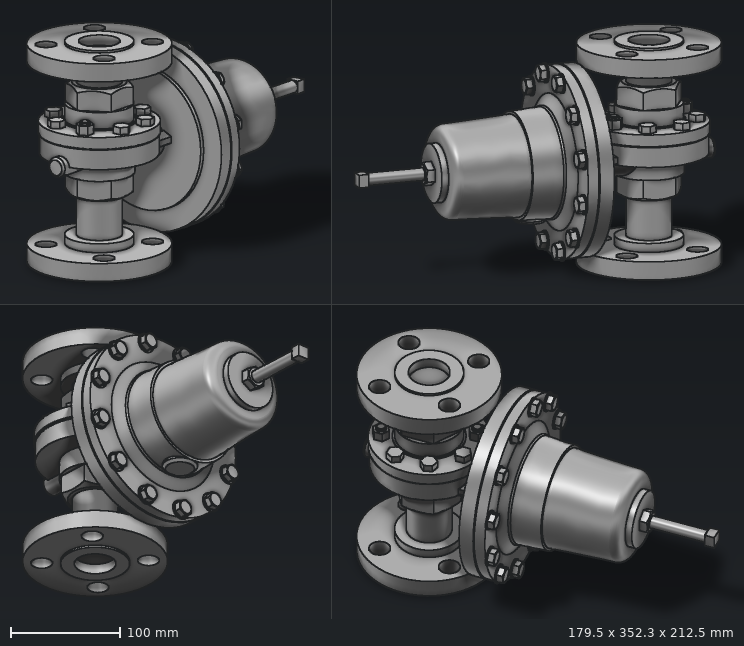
import cadquery as cq
import math


PIPE_TOP_Z = 107.0
PIPE_BOTTOM_Z = -105.5
FLANGE_RADIUS = 66.5
FLANGE_THICKNESS = 17.3
RAISED_FACE = 2.0
HUB_RADIUS = 31.7
HUB_HEIGHT = 8.5
PIPE_RADIUS = 21.0
BORE_RADIUS = 19.0
BORE_DEPTH = 10.0
FLANGE_HOLE_CIRCLE = 49.0
FLANGE_HOLE_RADIUS = 10.0
FLANGE_HOLE_COUNT = 4

PIPE_HEX_FLATS = 55.0
UPPER_HEX_TOP_Z = 68.5
UPPER_HEX_BOTTOM_Z = 48.0
LOWER_HEX_TOP_Z = -17.5
LOWER_HEX_BOTTOM_Z = -38.8
BONNET_TOP_Z = 31.5
BONNET_BOTTOM_Z = 20.0
BONNET_RADIUS = 56.0
NECK_COLLAR_RADIUS = 34.0
NECK_COLLAR_HEIGHT = 1.0
BODY_GASKET_RADIUS = 54.0
BODY_TOP_Z = 19.0
BODY_BOTTOM_Z = 0.5
BODY_RADIUS = 55.0
LOWER_NECK_RADIUS = 32.8

BONNET_BOLT_CIRCLE = 44.0
BONNET_BOLT_COUNT = 8
BONNET_BOLT_FLATS = 14.0
BONNET_BOLT_HEIGHT = 6.7
BONNET_NUT_HEIGHT = 8.8
STUD_RADIUS = 5.0
STUD_HEIGHT = 11.5
STUD_CHAMFER = 1.0
NUT_INDEXES = (2, 6)

PLUG_RADIUS = 9.5
PLUG_END_Y = -62.5
PLUG_CHAMFER = 2.0

DUCT_WIDTH = 52.0
DUCT_HEIGHT = 36.3
DUCT_CENTER_Z = 1.8
PLATE_HALF_WIDTH = 34.0
PLATE_BOTTOM_HALF_WIDTH = 31.5
PLATE_SIDE_BOTTOM_Z = 1.8
PLATE_EDGE_Z = 7.8
PLATE_TOP_Z = 12.0
PLATE_TOP_HALF_WIDTH = 25.0

DISC_DIAMETER = 179.5
DISC_RADIUS = DISC_DIAMETER / 2
DISC_FRONT_Y = 67.3
DISC_SEAM_Y = 81.8
DISC_BACK_Y = 93.0
DISC_GASKET_THICKNESS = 1.0
DISC_GASKET_RADIUS = DISC_RADIUS - 0.5
COVER_RADIUS = 68.5
COVER_Y = 63.0
COVER_CENTER_Y = 61.5

CASE_FOOT_RADIUS = 63.5
CASE_BASE_RADIUS = 53.0
CASE_BASE_Y = 100.5
CASE_SKIRT_RADIUS = 51.8
CASE_SKIRT_Y = 102.5
CASE_STEP_RADIUS = 50.5
CASE_STEP_Y = 132.0
CASE_WAIST_RADIUS = 47.5
CASE_WAIST_Y = 135.5
CASE_TOP_RADIUS = 44.0
CASE_TOP_Y = 206.0
CASE_ROUNDING = 9.0
CAP_RADIUS = 27.5
CAP_Y = 213.0
LOCK_NUT_FLATS = 19.5
LOCK_NUT_Y = 221.5
SCREW_RADIUS = 6.0
SCREW_SQUARE = 12.5
SCREW_SQUARE_Y = 276.3
SCREW_END_Y = 285.8

DISC_BOLT_CIRCLE = 82.0
DISC_BOLT_COUNT = 12
DISC_BOLT_FLATS = 14.0
DISC_BOLT_HEIGHT = 7.8
DISC_BOLT_TWIST = 45
DISC_WASHER_RADIUS = 9.0
DISC_WASHER_THICKNESS = 1.0

VENT_Y = 116.3
VENT_RADIUS = 16.2
VENT_BOTTOM_Z = -53.5
VENT_CHAMFER = 2.8

HEX_TOP_CIRCLE_RATIO = 0.92
CORNER_ON_Y = 30
HEX_CHAMFER_ANGLE = math.radians(30)


def cylinder(radius, low, high):
    """Cylinder on the Z axis between two heights."""
    return cq.Workplane("XY").workplane(offset=low).circle(radius).extrude(high - low)


def along_y(shape):
    """Turn a shape built on +Z so that its axis lies on +Y."""
    return shape.rotate((0, 0, 0), (1, 0, 0), -90)


def hexagon(flats, height, vertex_angle=0.0, chamfered=False):
    """Hexagonal prism standing on Z = 0, optionally with its top corners turned off by a cone."""
    corner_radius = flats / math.sqrt(3)
    prism = cq.Workplane("XY").polygon(6, 2 * corner_radius).extrude(height)
    if chamfered:
        top_radius = HEX_TOP_CIRCLE_RATIO * flats / 2
        drop = (corner_radius - top_radius) * math.tan(HEX_CHAMFER_ANGLE)
        envelope = (
            cq.Workplane("XZ")
            .polyline([
                (0, 0),
                (corner_radius, 0),
                (corner_radius, height - drop),
                (top_radius, height),
                (0, height),
            ])
            .close()
            .revolve(360, (0, 0), (0, 1))
        )
        prism = prism.intersect(envelope)
    return prism.rotate((0, 0, 0), (0, 0, 1), vertex_angle)


def pipe_flange():
    """Flange with its raised face on Z = 0 and its hub reaching down."""
    back = -RAISED_FACE - FLANGE_THICKNESS
    flange = (
        cylinder(HUB_RADIUS, back - HUB_HEIGHT, 0)
        .union(cylinder(FLANGE_RADIUS, back, -RAISED_FACE))
        .cut(cylinder(BORE_RADIUS, -BORE_DEPTH, 0))
    )
    holes = (
        cq.Workplane("XY")
        .workplane(offset=back)
        .polarArray(FLANGE_HOLE_CIRCLE, 180 / FLANGE_HOLE_COUNT, 360, FLANGE_HOLE_COUNT)
        .circle(FLANGE_HOLE_RADIUS)
        .extrude(FLANGE_THICKNESS)
    )
    return flange.cut(holes)


def valve_body():
    """Pipes, pipe hexagons, bonnet and round body stacked along the Z axis."""
    flange_depth = RAISED_FACE + FLANGE_THICKNESS + HUB_HEIGHT
    upper_hex = hexagon(PIPE_HEX_FLATS, UPPER_HEX_TOP_Z - UPPER_HEX_BOTTOM_Z, CORNER_ON_Y, True)
    lower_hex = hexagon(PIPE_HEX_FLATS, LOWER_HEX_TOP_Z - LOWER_HEX_BOTTOM_Z, CORNER_ON_Y, True)
    lower_hex = lower_hex.rotate((0, 0, 0), (1, 0, 0), 180)
    upper_flange = pipe_flange().translate((0, 0, PIPE_TOP_Z))
    lower_flange = pipe_flange().rotate((0, 0, 0), (1, 0, 0), 180).translate((0, 0, PIPE_BOTTOM_Z))
    return (
        cylinder(PIPE_RADIUS, PIPE_BOTTOM_Z + flange_depth, PIPE_TOP_Z - flange_depth)
        .union(upper_flange)
        .union(lower_flange)
        .union(upper_hex.translate((0, 0, UPPER_HEX_BOTTOM_Z)))
        .union(lower_hex.translate((0, 0, LOWER_HEX_TOP_Z)))
        .union(cylinder(HUB_RADIUS, BONNET_TOP_Z, UPPER_HEX_BOTTOM_Z))
        .union(cylinder(NECK_COLLAR_RADIUS, BONNET_TOP_Z, BONNET_TOP_Z + NECK_COLLAR_HEIGHT))
        .union(cylinder(BONNET_RADIUS, BONNET_BOTTOM_Z, BONNET_TOP_Z))
        .union(cylinder(BODY_GASKET_RADIUS, BODY_TOP_Z, BONNET_BOTTOM_Z))
        .union(cylinder(BODY_RADIUS, BODY_BOTTOM_Z, BODY_TOP_Z))
        .union(cylinder(LOWER_NECK_RADIUS, LOWER_HEX_TOP_Z, BODY_BOTTOM_Z))
    )


def bonnet_fasteners():
    """Ring of bolt heads on the bonnet, with nuts on studs at two opposite places."""
    bolt = hexagon(BONNET_BOLT_FLATS, BONNET_BOLT_HEIGHT)
    stud = cylinder(STUD_RADIUS, 0, STUD_HEIGHT).faces(">Z").chamfer(STUD_CHAMFER)
    nut = hexagon(BONNET_BOLT_FLATS, BONNET_NUT_HEIGHT).union(stud)
    pitch = 360 / BONNET_BOLT_COUNT
    ring = cq.Workplane("XY")
    for index in range(BONNET_BOLT_COUNT):
        angle = (index + 0.5) * pitch
        if index in NUT_INDEXES:
            fastener = nut.rotate((0, 0, 0), (0, 0, 1), CORNER_ON_Y)
        else:
            fastener = bolt.rotate((0, 0, 0), (0, 0, 1), angle + pitch / 2)
        x = BONNET_BOLT_CIRCLE * math.cos(math.radians(angle))
        y = BONNET_BOLT_CIRCLE * math.sin(math.radians(angle))
        ring = ring.add(fastener.translate((x, y, BONNET_TOP_Z)))
    return ring.combine()


def plug():
    """Round plug sticking out of the body toward -Y."""
    return cq.Workplane("XZ").circle(PLUG_RADIUS).extrude(-PLUG_END_Y).faces("<Y").chamfer(PLUG_CHAMFER)


def connection():
    """Rounded duct and bevelled plate running from the body to the actuator."""
    duct = (
        cq.Workplane("XZ")
        .center(0, DUCT_CENTER_Z)
        .slot2D(DUCT_WIDTH, DUCT_HEIGHT)
        .extrude(-DISC_FRONT_Y)
    )
    plate = (
        cq.Workplane("XZ")
        .polyline([
            (-PLATE_HALF_WIDTH, PLATE_SIDE_BOTTOM_Z),
            (-PLATE_BOTTOM_HALF_WIDTH, BODY_BOTTOM_Z),
            (PLATE_BOTTOM_HALF_WIDTH, BODY_BOTTOM_Z),
            (PLATE_HALF_WIDTH, PLATE_SIDE_BOTTOM_Z),
            (PLATE_HALF_WIDTH, PLATE_EDGE_Z),
            (PLATE_TOP_HALF_WIDTH, PLATE_TOP_Z),
            (-PLATE_TOP_HALF_WIDTH, PLATE_TOP_Z),
            (-PLATE_HALF_WIDTH, PLATE_EDGE_Z),
        ])
        .close()
        .extrude(-DISC_FRONT_Y)
    )
    return duct.union(plate)


def actuator():
    """Diaphragm disc, spring case and cap, turned around the Y axis."""
    gasket_front = DISC_SEAM_Y - DISC_GASKET_THICKNESS / 2
    gasket_back = DISC_SEAM_Y + DISC_GASKET_THICKNESS / 2
    housing = (
        cq.Workplane("XY")
        .moveTo(0, COVER_CENTER_Y)
        .lineTo(COVER_RADIUS, COVER_Y)
        .lineTo(COVER_RADIUS, DISC_FRONT_Y)
        .lineTo(DISC_RADIUS, DISC_FRONT_Y)
        .lineTo(DISC_RADIUS, gasket_front)
        .lineTo(DISC_GASKET_RADIUS, gasket_front)
        .lineTo(DISC_GASKET_RADIUS, gasket_back)
        .lineTo(DISC_RADIUS, gasket_back)
        .lineTo(DISC_RADIUS, DISC_BACK_Y)
        .lineTo(CASE_FOOT_RADIUS, DISC_BACK_Y)
        .lineTo(CASE_BASE_RADIUS, CASE_BASE_Y)
        .lineTo(CASE_SKIRT_RADIUS, CASE_SKIRT_Y)
        .lineTo(CASE_STEP_RADIUS, CASE_STEP_Y)
        .lineTo(CASE_WAIST_RADIUS, CASE_STEP_Y)
        .lineTo(CASE_WAIST_RADIUS, CASE_WAIST_Y)
        .lineTo(CASE_TOP_RADIUS, CASE_TOP_Y)
        .lineTo(0, CASE_TOP_Y)
        .close()
        .revolve(360, (0, 0), (0, 1))
        .faces(">Y")
        .edges()
        .fillet(CASE_ROUNDING)
    )
    return housing.union(along_y(cylinder(CAP_RADIUS, CASE_TOP_Y, CAP_Y)))


def adjusting_screw():
    """Lock nut and screw with a square end."""
    nut = hexagon(LOCK_NUT_FLATS, LOCK_NUT_Y - CAP_Y, CORNER_ON_Y, True).translate((0, 0, CAP_Y))
    shank = cylinder(SCREW_RADIUS, CAP_Y, SCREW_SQUARE_Y)
    square = (
        cq.Workplane("XY")
        .workplane(offset=SCREW_SQUARE_Y)
        .rect(SCREW_SQUARE, SCREW_SQUARE)
        .extrude(SCREW_END_Y - SCREW_SQUARE_Y)
    )
    return along_y(nut.union(shank).union(square))


def disc_bolts():
    """Ring of bolt heads on washers on the back of the disc."""
    pitch = 360 / DISC_BOLT_COUNT
    head = (
        hexagon(DISC_BOLT_FLATS, DISC_BOLT_HEIGHT, DISC_BOLT_TWIST, True)
        .union(cylinder(DISC_WASHER_RADIUS, 0, DISC_WASHER_THICKNESS))
    )
    head = head.translate((DISC_BOLT_CIRCLE, 0, DISC_BACK_Y))
    ring = cq.Workplane("XY")
    for index in range(DISC_BOLT_COUNT):
        ring = ring.add(head.rotate((0, 0, 0), (0, 0, 1), (index + 0.5) * pitch))
    return along_y(ring.combine())


def vent():
    """Round boss under the spring case."""
    return (
        cylinder(VENT_RADIUS, VENT_BOTTOM_Z, 0)
        .faces("<Z")
        .chamfer(VENT_CHAMFER)
        .translate((0, VENT_Y, 0))
    )


result = (
    valve_body()
    .union(bonnet_fasteners())
    .union(plug())
    .union(connection())
    .union(actuator())
    .union(adjusting_screw())
    .union(disc_bolts())
    .union(vent())
)